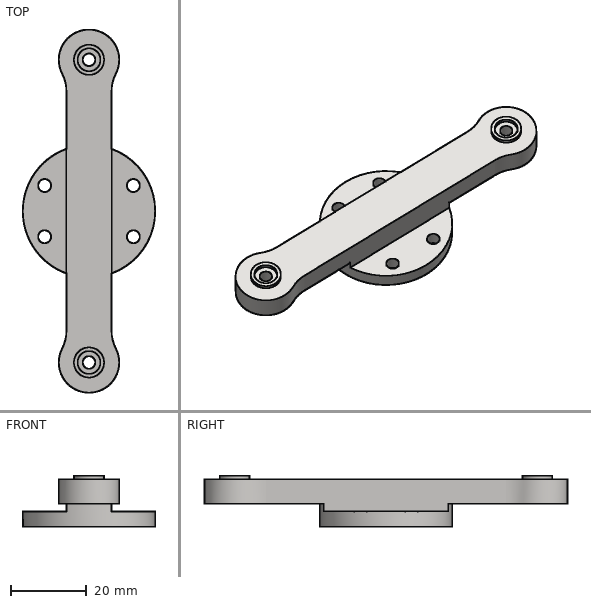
import cadquery as cq
import math

arm_length = 96.0
arm_width = 12.0
arm_thickness = 6.5
end_diameter = 16.0
waist_radius = 10.0

disc_diameter = 35.0
disc_thickness = 4.0
neck_height = 2.0

disc_hole_diameter = 3.4
disc_hole_circle_radius = 13.5
disc_hole_angle = 30.0

ring_outer_diameter = 8.0
ring_inner_diameter = 6.0
ring_height = 1.0
end_hole_diameter = 3.3

arm_bottom = disc_thickness + neck_height
arm_top = arm_bottom + arm_thickness
end_radius = end_diameter / 2
end_offset = arm_length / 2 - end_radius
end_centers = [(0, -end_offset), (0, end_offset)]


def disc():
    """Flat round base with its four mounting holes."""
    base = cq.Workplane("XY").circle(disc_diameter / 2).extrude(disc_thickness)
    angle = math.radians(disc_hole_angle)
    hole_x = disc_hole_circle_radius * math.cos(angle)
    hole_y = disc_hole_circle_radius * math.sin(angle)
    holes = (
        cq.Workplane("XY")
        .rect(2 * hole_x, 2 * hole_y, forConstruction=True)
        .vertices()
        .circle(disc_hole_diameter / 2)
        .extrude(disc_thickness)
    )
    return base.cut(holes)


def neck():
    """Strip as wide as the arm, with ends rounded to the disc outline."""
    strip = cq.Workplane("XY").rect(arm_width, disc_diameter).extrude(arm_bottom)
    outline = cq.Workplane("XY").circle(disc_diameter / 2).extrude(arm_bottom)
    return strip.intersect(outline)


def arm():
    """Straight bar whose sides blend tangentially into round ends."""
    half_width = arm_width / 2
    blend_x = half_width + waist_radius
    center_distance = end_radius + waist_radius
    blend_drop = math.sqrt(center_distance**2 - blend_x**2)
    blend_y = end_offset - blend_drop

    tangent_x = blend_x * end_radius / center_distance
    tangent_y = end_offset - blend_drop * end_radius / center_distance
    half_sweep = math.atan2(blend_drop, blend_x) / 2
    middle_x = blend_x - waist_radius * math.cos(half_sweep)
    middle_y = blend_y + waist_radius * math.sin(half_sweep)

    return (
        cq.Workplane("XY")
        .workplane(offset=arm_bottom)
        .moveTo(half_width, -blend_y)
        .lineTo(half_width, blend_y)
        .threePointArc((middle_x, middle_y), (tangent_x, tangent_y))
        .threePointArc((0, arm_length / 2), (-tangent_x, tangent_y))
        .threePointArc((-middle_x, middle_y), (-half_width, blend_y))
        .lineTo(-half_width, -blend_y)
        .threePointArc((-middle_x, -middle_y), (-tangent_x, -tangent_y))
        .threePointArc((0, -arm_length / 2), (tangent_x, -tangent_y))
        .threePointArc((middle_x, -middle_y), (half_width, -blend_y))
        .close()
        .extrude(arm_thickness)
    )


def end_rings():
    """Thin raised rings on top of the arm ends."""
    return (
        cq.Workplane("XY")
        .workplane(offset=arm_top)
        .pushPoints(end_centers)
        .circle(ring_outer_diameter / 2)
        .circle(ring_inner_diameter / 2)
        .extrude(ring_height)
    )


def end_holes():
    """Through holes at the centres of the round ends."""
    return (
        cq.Workplane("XY")
        .workplane(offset=arm_bottom)
        .pushPoints(end_centers)
        .circle(end_hole_diameter / 2)
        .extrude(arm_thickness)
    )


result = disc().union(neck()).union(arm()).union(end_rings()).cut(end_holes())